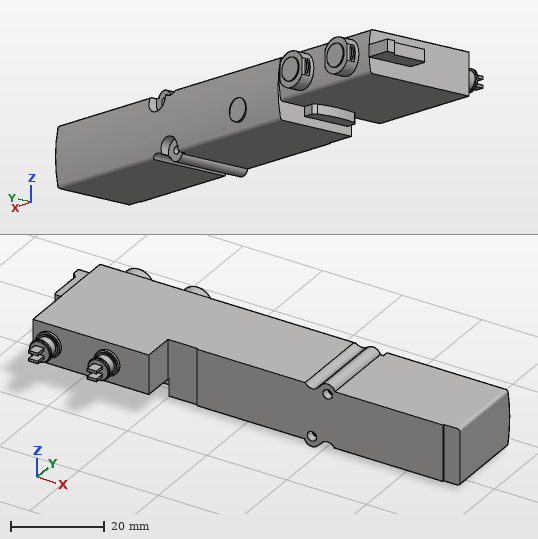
import cadquery as cq
import math


BODY_LEFT = 29.4
BODY_RIGHT = 102.56
BODY_HEIGHT = 14.0
FRONT_STEP = 0.33
FRONT_STEP_LEFT_END = 36.6
FRONT_STEP_RIGHT_START = 98.5
BODY_BULGE = 0.8
EDGE_ROUNDING = 0.75

BLOCK_LENGTH = 29.15
BLOCK_HEIGHT = 9.8
BLOCK_FRONT = -7.5
BLOCK_BULGE = 0.5
REAR_EDGE = 20.4
BLOCK_BOTTOM = BODY_HEIGHT - BLOCK_HEIGHT
BLOCK_MID_Z = BODY_HEIGHT - BLOCK_HEIGHT / 2

OVERALL_HEIGHT = 16.7
RIDGE_RADIUS = 3.9 / 2
RIDGE_X = 69.45
GROOVE_X = 65.5
SCREW_HOLE_DIAMETER = 1.75
SCREW_EXIT_DIAMETER = 2.3
SCREW_EXIT_DEPTH = 2.0
SCREW_HOLE_INSET = 1.2
SCREW_HEAD_DIAMETER = 5.3
SCREW_HEAD_SEAT_Y = 18.6

PLUG_FIRST_X = 4.1
KNOB_FIRST_X = 7.4
PORT_PITCH = 14.7
OVERALL_DEPTH = 38.19
PLUG_TIP_Y = -14.02
PLUG_FLANGE_DIAMETER = 6.1
PLUG_FLANGE_LENGTH = 0.65
PLUG_SHOULDER_DIAMETER = 5.3
PLUG_SHOULDER_LENGTH = 0.33
PLUG_STEM_DIAMETER = 4.5
PLUG_DISC_START_Y = -10.78
PLUG_DISC_THICKNESS = 0.65
PLUG_DISC_CHAMFER = 0.2
BLADE_WIDTH = 2.3
BLADE_THICKNESS = 0.65
BLADE_SPACING = 1.96
KNOB_DIAMETER = 8.1
KNOB_CAP_DIAMETER = 5.3
KNOB_CAP_HEIGHT = 0.3
KNOB_END_Y = PLUG_TIP_Y + OVERALL_DEPTH
KNOB_FLAT_HALF_WIDTH = 3.6
KNOB_POCKET_WIDTH = 3.92
KNOB_POCKET_START_Y = 21.9
KNOB_CLIP_WIDTH = 3.0
KNOB_CLIP_START_Y = 22.55
KNOB_CLIP_LENGTH = 0.4

TAB_LENGTH = 5.94
TAB_NECK_LENGTH = 4.9
TAB_THICKNESS = 2.75
TAB_FRONT_Y = 9.1
TAB_REAR_Y = 20.9
TAB_HOOK_Y = 18.9
TAB_HOOK_END_Y = 17.9
TAB_FRONT_ROUNDING = 0.5
LOCATOR_TIP_X = 25.45
LOCATOR_SHOULDER_X = 26.1
LOCATOR_CORNER = 0.8
LOCATOR_FRONT_Y = 1.5
LOCATOR_REAR_Y = 13.7
LOCATOR_BOTTOM = 2.0

BUTTON_DIAMETER = 5.3
BUTTON_X = 42.5
BUTTON_Z = 4.85
BUTTON_FACE_Y = 21.35

EMBED = 1.0


def box(x0, x1, y0, y1, z0, z1):
    return cq.Workplane("XY").box(x1 - x0, y1 - y0, z1 - z0, centered=False).translate((x0, y0, z0))


def cylinder_y(diameter, x, z, y0, y1):
    """Cylinder along Y from y0 to y1."""
    disc = cq.Workplane("XZ", origin=(x, y0, z)).circle(diameter / 2)
    return disc.extrude(y0 - y1)


def bulged_slab(x0, x1, front, bulge, bottom):
    """Slab along X whose rear face is a shallow arc with rounded long edges."""
    mid_z = (bottom + BODY_HEIGHT) / 2
    slab = (
        cq.Workplane("YZ", origin=(x0, 0, 0))
        .moveTo(front, bottom)
        .lineTo(REAR_EDGE, bottom)
        .threePointArc((REAR_EDGE + bulge, mid_z), (REAR_EDGE, BODY_HEIGHT))
        .lineTo(front, BODY_HEIGHT)
        .close()
        .extrude(x1 - x0)
    )
    return slab.faces(">Y").edges("|X").fillet(EDGE_ROUNDING)


def half_turn(shape):
    """Turn a top-side feature about the axis midway between the two screws to get its underside twin."""
    mid_x = (RIDGE_X + GROOVE_X) / 2
    mid_z = BODY_HEIGHT / 2
    return shape.rotate((mid_x, 0, mid_z), (mid_x, 1, mid_z), 180)


RIDGE_Z = (BODY_HEIGHT + OVERALL_HEIGHT) / 2 - RIDGE_RADIUS
GROOVE_Z = RIDGE_Z + 2 * RIDGE_RADIUS * math.sqrt(2) - (RIDGE_X - GROOVE_X)
FLANK_OFFSET = RIDGE_RADIUS / math.sqrt(2)
RIDGE_TOP_Z = RIDGE_Z + RIDGE_RADIUS


def top_ridge():
    """Ridge over the screw hole, from the front face to the screw head seat."""
    half_width = math.sqrt(RIDGE_RADIUS**2 - (BODY_HEIGHT - RIDGE_Z) ** 2)
    base_z = BODY_HEIGHT - EMBED
    flank_end_x = GROOVE_X + FLANK_OFFSET
    return (
        cq.Workplane("XZ")
        .moveTo(flank_end_x, base_z)
        .lineTo(flank_end_x, GROOVE_Z - FLANK_OFFSET)
        .lineTo(RIDGE_X - FLANK_OFFSET, RIDGE_Z + FLANK_OFFSET)
        .threePointArc((RIDGE_X, RIDGE_TOP_Z), (RIDGE_X + half_width, BODY_HEIGHT))
        .lineTo(RIDGE_X + half_width, base_z)
        .close()
        .extrude(-SCREW_HEAD_SEAT_Y)
    )


def groove_cutter():
    """Groove along the whole body, opening onto the ridge flank."""
    return cylinder_y(2 * RIDGE_RADIUS, GROOVE_X, GROOVE_Z, -EMBED, BUTTON_FACE_Y + EMBED)


def screw_hole_cutter():
    """Stepped screw hole: wider at the front end, with an open-topped head recess at the rear."""
    hole_z = BODY_HEIGHT - SCREW_HOLE_INSET
    rear = BUTTON_FACE_Y + EMBED
    hole = cylinder_y(SCREW_HOLE_DIAMETER, RIDGE_X, hole_z, -EMBED, rear)
    exit_bore = cylinder_y(SCREW_EXIT_DIAMETER, RIDGE_X, hole_z, -EMBED, SCREW_EXIT_DEPTH)
    head = cylinder_y(SCREW_HEAD_DIAMETER, RIDGE_X, hole_z, SCREW_HEAD_SEAT_Y, rear)
    head_radius = SCREW_HEAD_DIAMETER / 2
    head_opening = box(
        RIDGE_X - head_radius, RIDGE_X + head_radius, SCREW_HEAD_SEAT_Y, rear, hole_z, OVERALL_HEIGHT
    )
    return hole.union(exit_bore).union(head).union(head_opening)


def valve_body():
    body = bulged_slab(BODY_LEFT, BODY_RIGHT, 0, BODY_BULGE, 0)
    body = body.faces(">X").edges("|Y").fillet(EDGE_ROUNDING)
    steps = ((BODY_LEFT, FRONT_STEP_LEFT_END), (FRONT_STEP_RIGHT_START, BODY_RIGHT))
    for x0, x1 in steps:
        body = body.cut(box(x0, x1, 0, FRONT_STEP, 0, BODY_HEIGHT))
    button = cylinder_y(BUTTON_DIAMETER, BUTTON_X, BUTTON_Z, REAR_EDGE - EMBED, BUTTON_FACE_Y)
    body = body.union(button)

    groove = groove_cutter()
    ridge = top_ridge()
    screw_hole = screw_hole_cutter()
    body = body.cut(groove).cut(half_turn(groove))
    body = body.union(ridge).union(half_turn(ridge))
    return body.cut(screw_hole).cut(half_turn(screw_hole))


def port_block():
    block = bulged_slab(0, BLOCK_LENGTH, BLOCK_FRONT, BLOCK_BULGE, BLOCK_BOTTOM)
    bridge = bulged_slab(BLOCK_LENGTH - EMBED, BODY_LEFT, FRONT_STEP, BLOCK_BULGE, BLOCK_BOTTOM)
    return block.union(bridge)


def side_tab():
    """Hooked tab on the left face of the block."""
    tab = (
        cq.Workplane("XY", origin=(0, 0, BLOCK_MID_Z - TAB_THICKNESS / 2))
        .moveTo(EMBED, TAB_REAR_Y - EMBED)
        .lineTo(0, TAB_REAR_Y)
        .lineTo(-TAB_LENGTH, TAB_REAR_Y)
        .lineTo(-TAB_LENGTH, TAB_HOOK_Y)
        .lineTo(-TAB_NECK_LENGTH, TAB_HOOK_END_Y)
        .lineTo(-TAB_NECK_LENGTH, TAB_FRONT_Y)
        .lineTo(EMBED, TAB_FRONT_Y)
        .close()
        .extrude(TAB_THICKNESS)
    )
    front_corner = cq.selectors.NearestToPointSelector((-TAB_NECK_LENGTH, TAB_FRONT_Y, BLOCK_MID_Z))
    return tab.edges("|Z").edges(front_corner).fillet(TAB_FRONT_ROUNDING)


def locator_tab():
    """Tab on the left end of the body, under the block, with a gently arched tip."""
    mid_y = (LOCATOR_FRONT_Y + LOCATOR_REAR_Y) / 2
    shoulder_end_x = LOCATOR_SHOULDER_X + LOCATOR_CORNER
    front_corner_y = LOCATOR_FRONT_Y + LOCATOR_CORNER
    rear_corner_y = LOCATOR_REAR_Y - LOCATOR_CORNER
    return (
        cq.Workplane("XY", origin=(0, 0, LOCATOR_BOTTOM))
        .moveTo(BODY_LEFT + EMBED, LOCATOR_FRONT_Y)
        .lineTo(shoulder_end_x, LOCATOR_FRONT_Y)
        .lineTo(LOCATOR_SHOULDER_X, front_corner_y)
        .threePointArc((LOCATOR_TIP_X, mid_y), (LOCATOR_SHOULDER_X, rear_corner_y))
        .lineTo(shoulder_end_x, LOCATOR_REAR_Y)
        .lineTo(BODY_LEFT + EMBED, LOCATOR_REAR_Y)
        .close()
        .extrude(BLOCK_BOTTOM - LOCATOR_BOTTOM)
    )


def plug(x):
    """Stepped front plug carrying two flat contact blades."""
    inside = BLOCK_FRONT + EMBED
    flange_end = BLOCK_FRONT - PLUG_FLANGE_LENGTH
    shoulder_end = flange_end - PLUG_SHOULDER_LENGTH
    disc_end = PLUG_DISC_START_Y - PLUG_DISC_THICKNESS
    shape = cylinder_y(PLUG_FLANGE_DIAMETER, x, BLOCK_MID_Z, inside, flange_end)
    shape = shape.union(cylinder_y(PLUG_SHOULDER_DIAMETER, x, BLOCK_MID_Z, inside, shoulder_end))
    shape = shape.union(cylinder_y(PLUG_STEM_DIAMETER, x, BLOCK_MID_Z, inside, disc_end))
    disc = cylinder_y(PLUG_SHOULDER_DIAMETER, x, BLOCK_MID_Z, PLUG_DISC_START_Y, disc_end)
    shape = shape.union(disc.faces("<Y").edges().chamfer(PLUG_DISC_CHAMFER))
    for side in (-1, 1):
        bottom = BLOCK_MID_Z + side * BLADE_SPACING / 2 - BLADE_THICKNESS / 2
        x0 = x - BLADE_WIDTH / 2
        blade = box(x0, x0 + BLADE_WIDTH, PLUG_TIP_Y, disc_end + EMBED, bottom, bottom + BLADE_THICKNESS)
        shape = shape.union(blade)
    return shape


def knob(x):
    """Rear knob with a cap and, on each side, a pocket holding a small clip."""
    shoulder_y = KNOB_END_Y - KNOB_CAP_HEIGHT
    inside = REAR_EDGE - EMBED
    full = cylinder_y(KNOB_DIAMETER, x, BLOCK_MID_Z, inside, shoulder_y)
    clip_end_y = KNOB_CLIP_START_Y + KNOB_CLIP_LENGTH

    def bar(half_length, width, y0, y1):
        z0 = BLOCK_MID_Z - width / 2
        return box(x - half_length, x + half_length, y0, y1, z0, z0 + width)

    pockets = bar(KNOB_DIAMETER, KNOB_POCKET_WIDTH, KNOB_POCKET_START_Y, shoulder_y)
    core = bar(KNOB_FLAT_HALF_WIDTH, KNOB_POCKET_WIDTH, KNOB_POCKET_START_Y, shoulder_y)
    clips = bar(KNOB_DIAMETER, KNOB_CLIP_WIDTH, KNOB_CLIP_START_Y, clip_end_y)
    cap = cylinder_y(KNOB_CAP_DIAMETER, x, BLOCK_MID_Z, inside, KNOB_END_Y)
    return full.cut(pockets.cut(core).cut(clips)).union(cap)


result = valve_body().union(port_block()).union(side_tab()).union(locator_tab())
for port in range(2):
    result = result.union(plug(PLUG_FIRST_X + port * PORT_PITCH))
    result = result.union(knob(KNOB_FIRST_X + port * PORT_PITCH))